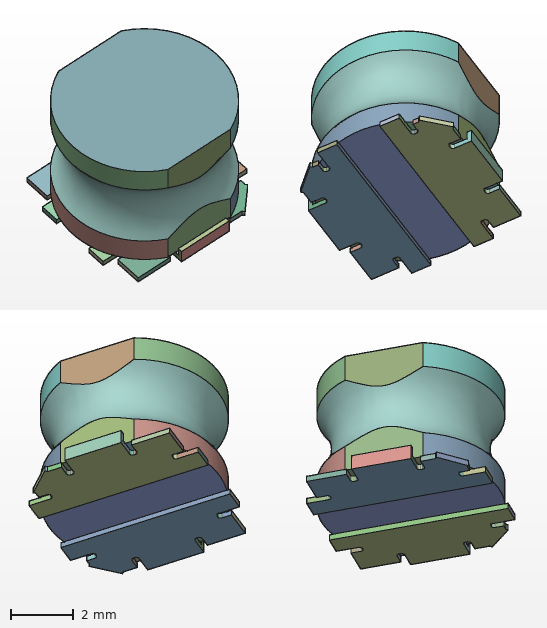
import cadquery as cq
import math

core_radius = 3.0
waist_radius = 2.53
flat_half_width = 2.7
total_height = 4.5
flange_height = 0.9

plate_thickness = 0.2
frame_half_length = 3.0
frame_inner_x = 0.79
finger_outer_x = 1.5
pad_inner_x = 1.74
pad_outer_x = 2.75
pad_inner_y = 1.24
pad_front_y = 2.59
pad_rear_y = 2.545
clip_half_width = 0.995
clip_height = 0.505
clip_thickness = 0.16
finger_slot_end_y = 2.16
clip_slot_end_x = 2.28
slot_corner_radius = 0.09

flap_length = 1.135
flap_depth = 0.24
flap_shift = 0.15
flap_reach = 3.265

lower_flange_top = plate_thickness + flange_height
upper_flange_bottom = total_height - flange_height
waist_z = (lower_flange_top + upper_flange_bottom) / 2


def arc_midpoint(z_edge):
    """Point halfway along the waist arc between the waist and a flange edge."""
    rise = abs(z_edge - waist_z)
    depth = core_radius - waist_radius
    arc_radius = (rise**2 + depth**2) / (2 * depth)
    half_angle = math.asin(rise / arc_radius) / 2
    radius = waist_radius + arc_radius * (1 - math.cos(half_angle))
    z_offset = math.copysign(arc_radius * math.sin(half_angle), z_edge - waist_z)
    return (radius, waist_z + z_offset)


def make_core():
    """Revolved drum with a concave waist, trimmed by a flat on each X side."""
    drum = (
        cq.Workplane("XZ")
        .moveTo(0, plate_thickness)
        .lineTo(core_radius, plate_thickness)
        .lineTo(core_radius, lower_flange_top)
        .threePointArc(arc_midpoint(lower_flange_top), (waist_radius, waist_z))
        .threePointArc(arc_midpoint(upper_flange_bottom), (core_radius, upper_flange_bottom))
        .lineTo(core_radius, total_height)
        .lineTo(0, total_height)
        .close()
        .revolve(360, (0, 0, 0), (0, 1, 0))
        .rotate((0, 0, 0), (0, 0, 1), -90)
    )
    trim = cq.Workplane("XY").box(
        2 * flat_half_width, 2 * core_radius, total_height, centered=(True, True, False)
    )
    return drum.intersect(trim)


def block(x_min, x_max, y_min, y_max, height=plate_thickness):
    """Upright block standing on the base plane."""
    return (
        cq.Workplane("XY")
        .box(x_max - x_min, y_max - y_min, height, centered=False)
        .translate((x_min, y_min, 0))
    )


def make_corner(pad_end_y):
    """Corner pad and finger parted by one slot, with a second slot beside the clip."""
    pad = block(frame_inner_x, pad_outer_x, 0, pad_end_y)
    finger = block(frame_inner_x, finger_outer_x, 0, frame_half_length)
    finger_slot = block(finger_outer_x, pad_inner_x, finger_slot_end_y, frame_half_length)
    finger_slot = finger_slot.edges("|Z and <Y").fillet(slot_corner_radius)
    clip_slot = block(clip_slot_end_x, frame_half_length, clip_half_width, pad_inner_y)
    clip_slot = clip_slot.edges("|Z and <X").fillet(slot_corner_radius)
    return pad.union(finger).cut(finger_slot).cut(clip_slot)


def add_flap(corner):
    """Replace the rear pad's sharp corner by the 45 degree flap."""
    corner_waste = block(flap_reach, 2 * flap_reach, -flap_reach, flap_reach)
    flap_start = -flap_shift - flap_length / 2
    flap = block(flap_reach - flap_depth, flap_reach, flap_start, flap_start + flap_length)
    z_axis = ((0, 0, 0), (0, 0, 1))
    corner = corner.cut(corner_waste.rotate(*z_axis, 45))
    return corner.union(flap.rotate(*z_axis, 45))


def make_frame():
    """Lead frame on the +X side, with an upturned clip at its outer edge."""
    rear = add_flap(make_corner(pad_rear_y))
    front = make_corner(pad_front_y).mirror("XZ")
    clip_base = block(frame_inner_x, frame_half_length, -clip_half_width, clip_half_width)
    clip_wall = block(
        frame_half_length - clip_thickness,
        frame_half_length,
        -clip_half_width,
        clip_half_width,
        clip_height,
    )
    return rear.union(front).union(clip_base).union(clip_wall)


right_frame = make_frame()
left_frame = right_frame.mirror("YZ")
result = make_core().union(right_frame).union(left_frame)